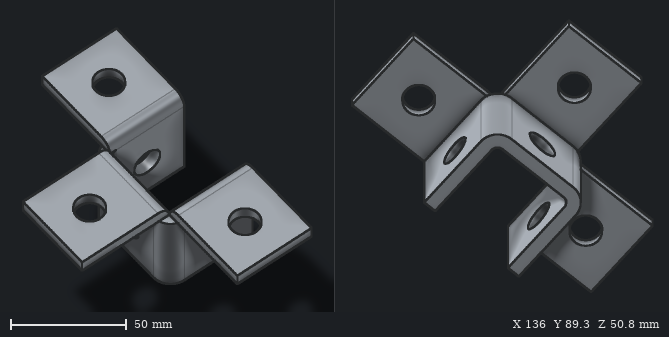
import cadquery as cq

overall_length = 136.0
overall_depth = 89.3
overall_height = 50.8
thickness = 6.3
inner_width = 41.4
inner_depth = 41.1
corner_radius = 9.5
hole_diameter = 14.3
hole_edge_distance = 20.5

outer_width = inner_width + 2 * thickness
wall_height = overall_height - thickness
side_flange_length = (overall_length - inner_width) / 2
front_flange_length = overall_depth - inner_depth


def make_channel():
    """U-shaped upright wall, open at the back, with rounded vertical bends."""
    outer = (
        cq.Workplane("XY")
        .box(outer_width, inner_depth + thickness, wall_height, centered=(True, False, False))
        .translate((0, -thickness, 0))
        .edges("|Z and <Y")
        .fillet(corner_radius)
    )
    opening = (
        cq.Workplane("XY")
        .box(inner_width, inner_depth, wall_height, centered=(True, False, False))
        .edges("|Z and <Y")
        .fillet(corner_radius - thickness)
    )
    return outer.cut(opening)


def make_flange(length, width):
    """Plate along +X from X = 0, its upper start edge rounded and a hole near its tip."""
    return (
        cq.Workplane("XZ")
        .lineTo(length, 0)
        .lineTo(length, thickness)
        .lineTo(thickness, thickness)
        .radiusArc((0, 0), -thickness)
        .close()
        .extrude(width / 2, both=True)
        .cut(
            cq.Workplane("XY")
            .center(length - hole_edge_distance, 0)
            .circle(hole_diameter / 2)
            .extrude(thickness)
        )
    )


result = make_channel()
front_hole = (
    cq.Workplane("XZ")
    .center(0, hole_edge_distance)
    .circle(hole_diameter / 2)
    .extrude(thickness)
)
side_holes = (
    cq.Workplane("YZ")
    .center(inner_depth - hole_edge_distance, hole_edge_distance)
    .circle(hole_diameter / 2)
    .extrude(outer_width / 2, both=True)
)
result = result.cut(front_hole).cut(side_holes)

side_flange = make_flange(side_flange_length, inner_depth).translate(
    (inner_width / 2, inner_depth / 2, wall_height)
)
front_flange = (
    make_flange(front_flange_length, inner_width)
    .rotate((0, 0, 0), (0, 0, 1), -90)
    .translate((0, 0, wall_height))
)
result = result.union(side_flange).union(side_flange.mirror("YZ")).union(front_flange)